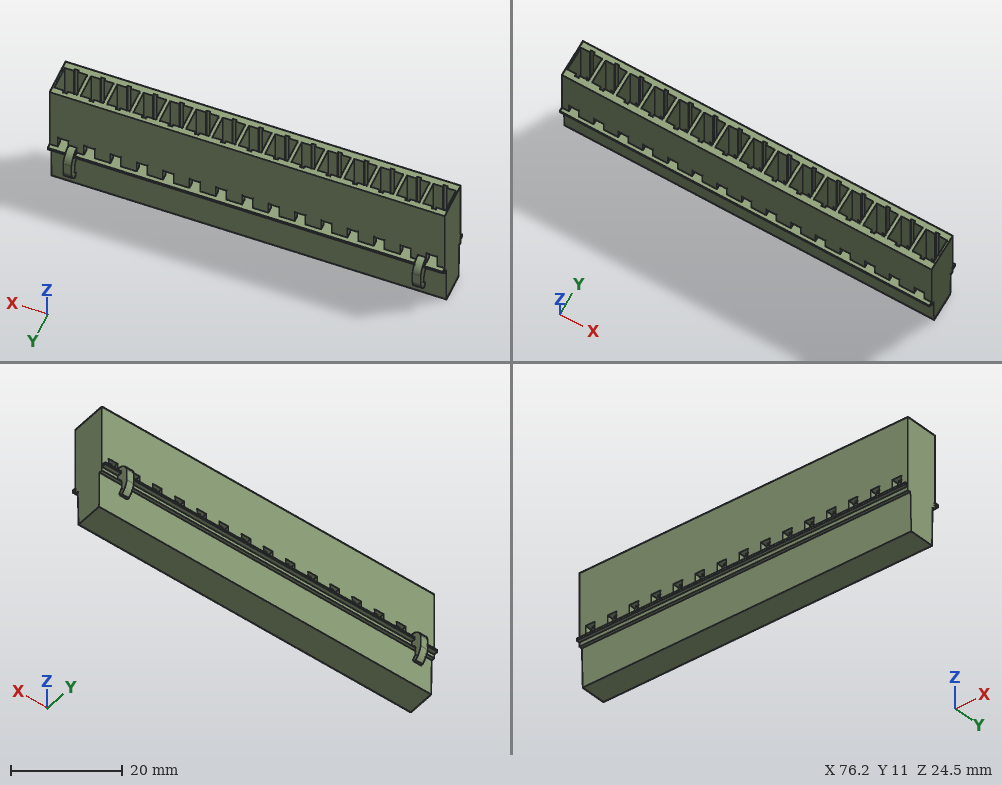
import cadquery as cq

length = 76.2
height = 24.5
body_depth = 7.6

step_height = 8.45
step_depth = 0.7
front_taper = 0.2
back_taper = 0.15

ledge_top = 9.8
ledge_thickness = 0.45
front_ledge_reach = 0.8
back_ledge_reach = 0.9

cell_count = 15
cell_pitch = length / cell_count
row_center = length / 2 - 0.04
cell_width = 4.35
cell_floor = ledge_top
cell_front = 1.45
cell_back = 6.3

key_width = 0.8
key_depth = 0.42

window_width = 2.05
window_height = 2.5

hook_width = 1.6
hook_offset = 33.7
hook_reach = 2.6
hook_gap = 1.1
hook_root_top = 11.2
hook_root_bottom = step_height
hook_back_top = 9.0
hook_back_bottom = 6.4
hook_inner_top = 6.85
hook_inner_bottom = 5.4
hook_tip_z = 3.9
hook_tip_outer_y = 1.15
hook_tip_inner_y = 0.7
hook_barb = (0.4, 4.6)

shoulder_arc_middle = (1.9, 10.3)
belly_arc_middle = (2.1, 5.1)
inner_arc_middle = (0.7, 7.8)


def centered_box(x_center, width, y_min, y_max, z_min, z_max):
    block = cq.Workplane("XY").box(width, y_max - y_min, z_max - z_min, centered=False)
    return block.translate((x_center - width / 2, y_min, z_min))


def housing():
    lower_back = body_depth - step_depth
    outline = [
        (step_depth + front_taper, 0),
        (step_depth, step_height),
        (0, step_height),
        (0, height),
        (body_depth, height),
        (body_depth, step_height),
        (lower_back, step_height),
        (lower_back - back_taper, 0),
    ]
    return cq.Workplane("YZ").polyline(outline).close().extrude(length)


def ledges():
    """One plate through the housing that stands out at the front and back."""
    ledge_back = body_depth + back_ledge_reach
    ledge_bottom = ledge_top - ledge_thickness
    return centered_box(length / 2, length, -front_ledge_reach, ledge_back, ledge_bottom, ledge_top)


def cell_cavity(x):
    """Cell open at the top, with its two key grooves and its window."""
    key_front = cell_front - key_depth
    key_back = cell_back + key_depth
    window_top = cell_floor + window_height
    cell = centered_box(x, cell_width, cell_front, cell_back, cell_floor, height)
    keys = centered_box(x, key_width, key_front, key_back, cell_floor, height)
    window = centered_box(x, window_width, 0, body_depth, cell_floor, window_top)
    return cell.union(keys).union(window)


def hook(x):
    """Latch hook profile, with y measured from the back face of the housing."""
    profile = (
        cq.Workplane("YZ", origin=(x - hook_width / 2, body_depth, 0))
        .moveTo(0, hook_root_top)
        .threePointArc(shoulder_arc_middle, (hook_reach, hook_back_top))
        .lineTo(hook_reach, hook_back_bottom)
        .threePointArc(belly_arc_middle, (hook_tip_outer_y, hook_tip_z))
        .lineTo(hook_tip_inner_y, hook_tip_z)
        .lineTo(*hook_barb)
        .lineTo(hook_gap, hook_inner_bottom)
        .lineTo(hook_gap, hook_inner_top)
        .threePointArc(inner_arc_middle, (0, hook_root_bottom))
        .close()
    )
    return profile.extrude(hook_width)


result = housing().union(ledges())

for index in range(cell_count):
    cell_x = row_center + (index - (cell_count - 1) / 2) * cell_pitch
    result = result.cut(cell_cavity(cell_x))

for side in (-1, 1):
    result = result.union(hook(row_center + side * hook_offset))